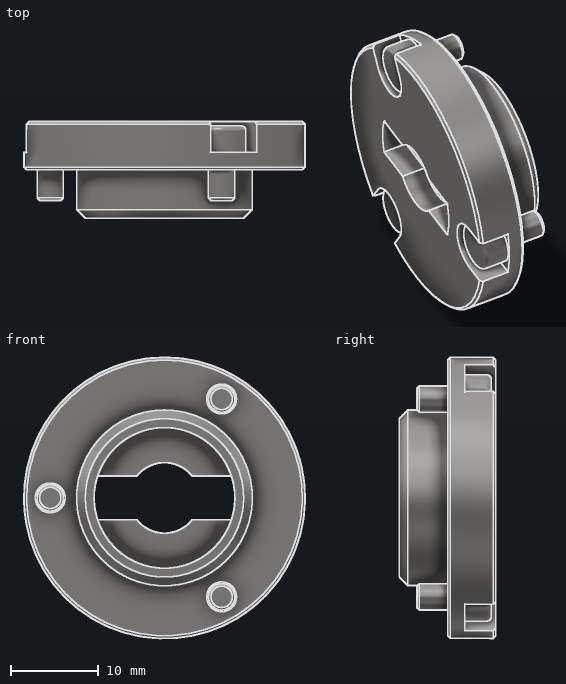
import cadquery as cq

flange_diameter = 32
flange_thickness = 5.5
flange_chamfer = 0.32

hub_diameter = 20.0
hub_length = 5.5
hub_chamfer = 1.0
bore_diameter = 16
bore_depth = 8.2

web_hole_diameter = 8
web_slot_height = 4.93

pin_angles = (60, 180, 300)
pin_circle_radius = 13.0
pin_diameter = 3.0
pin_projection = 3.5
pin_chamfer = 0.3
pin_hole_diameter = 3.4
head_diameter = 5.5
head_recess = 0.5
head_fillet = 0.5
pocket_width = 6.0
pocket_depth = 3.52

pocket_floor = flange_thickness - pocket_depth


def cylinder(diameter, start_y, end_y, x=0, z=0):
    """Cylinder along Y from start_y to end_y, centred on (x, z)."""
    axis = cq.Vector(0, 1, 0)
    solid = cq.Solid.makeCylinder(diameter / 2, end_y - start_y, cq.Vector(x, start_y, z), axis)
    return cq.Workplane(obj=solid)


def turn(shape, angle):
    """Turn a shape made on the +X side so that it sits at angle, measured from +X toward +Z."""
    return shape.rotate((0, 0, 0), (0, 1, 0), -angle)


def make_pocket():
    """Round-ended pocket in the back of the flange, open at the rim, with the pin hole in its floor."""
    length = flange_diameter / 2
    round_end = cylinder(pocket_width, pocket_floor, flange_thickness, pin_circle_radius)
    channel = cq.Workplane().box(length, pocket_depth, pocket_width, centered=(False, False, True))
    channel = channel.translate((pin_circle_radius, pocket_floor, 0))
    pin_hole = cylinder(pin_hole_diameter, 0, pocket_floor, pin_circle_radius)
    return round_end.union(channel).union(pin_hole)


def make_pin():
    """Pin with a chamfered tip and a rounded head that rests on the pocket floor."""
    head = cylinder(head_diameter, pocket_floor, flange_thickness - head_recess, pin_circle_radius)
    head = head.faces(">Y").edges().fillet(head_fillet)
    shank = cylinder(pin_diameter, -pin_projection, pocket_floor, pin_circle_radius)
    shank = shank.faces("<Y").edges().chamfer(pin_chamfer)
    return head.union(shank)


flange = cylinder(flange_diameter, 0, flange_thickness).edges("%CIRCLE").chamfer(flange_chamfer)
hub = cylinder(hub_diameter, -hub_length, 0).faces("<Y").edges().chamfer(hub_chamfer)
body = flange.union(hub)

bore_floor = bore_depth - hub_length
body = body.cut(cylinder(bore_diameter, -hub_length, bore_floor))
web_slot = cq.Workplane().box(bore_diameter, flange_thickness, web_slot_height, centered=(True, False, True))
web_slot = web_slot.intersect(cylinder(bore_diameter, 0, flange_thickness))
body = body.cut(web_slot).cut(cylinder(web_hole_diameter, 0, flange_thickness))

for angle in pin_angles:
    body = body.cut(turn(make_pocket(), angle))
    body = body.union(turn(make_pin(), angle))

result = body